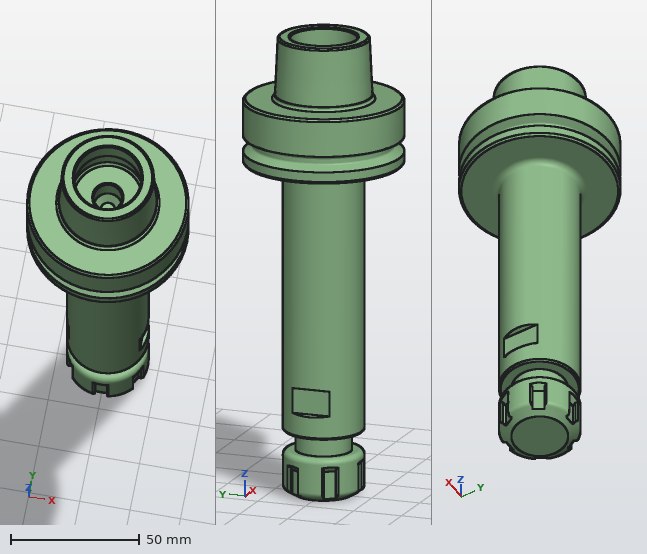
import cadquery as cq
import math

overall_length = 185.0

taper_height = 25.0
taper_top_radius = 36.0 / 2
taper_base_radius = 19.0
taper_base_z = 1.7
taper_chamfer = 0.7
relief_rim_radius = 19.2
relief_neck_radius = 19.0
relief_neck_z = 1.0
relief_outer_radius = 20.2

flange_radius = 63.0 / 2
flange_height = 26.0
flange_chamfer = 1.0
groove_radius = 27.8
groove_upper_edge_z = -15.0
groove_upper_floor_z = -16.6
groove_lower_floor_z = -19.2
groove_lower_edge_z = -21.3
groove_fillet = 0.7

shank_radius = 32.0 / 2
shank_bottom_z = -134.1
shank_fillet = 2.5
shank_chamfer = 0.7
flat_distance = 14.0
flat_top_z = -114.5
flat_bottom_z = -124.5
flat_end_angle = 17

neck_radius = 11.1
nut_radius = shank_radius
nut_top_z = -142.0
nut_bottom_z = taper_height - overall_length
nut_top_fillet = 2.2
nut_face_radius = 11.1
nut_cone_angle = 30
nut_lower_fillet = 1.8

slot_count = 6
slot_width = 4.8
slot_floor_distance = 13.7
slot_top_z = -145.2
slot_back_drop = 1.1
slot_rim_flare = 1.1
slot_first_angle = 30
slot_overshoot = 1.8

mouth_radius = 13.1
mouth_chamfer = 0.5
mouth_depth = 9.2
cavity_radius = 14.5
cavity_depth = 19.6
cavity_bevel = 1.1
coolant_radius = 5.5
coolant_depth = 9.2
coolant_chamfer = 0.5
coolant_tip_radius = 2.8


def revolved(profile):
    """Revolve a half profile drawn in XZ about the Z axis."""
    return profile.close().revolve(360, (0, 0, 0), (0, 1, 0))


def flanged_shank():
    flange_bottom_z = -flange_height
    edge_radius = flange_radius - flange_chamfer
    fillet_start = shank_radius + shank_fillet
    fillet_end_z = flange_bottom_z - shank_fillet
    fillet_mid = shank_fillet * (1 - math.sqrt(0.5))
    profile = (
        cq.Workplane("XZ")
        .moveTo(0, taper_height)
        .lineTo(taper_top_radius - taper_chamfer, taper_height)
        .lineTo(taper_top_radius, taper_height - taper_chamfer)
        .lineTo(taper_base_radius, taper_base_z)
        .lineTo(relief_rim_radius, taper_base_z)
        .lineTo(relief_neck_radius, relief_neck_z)
        .tangentArcPoint((relief_outer_radius, 0), relative=False)
        .lineTo(edge_radius, 0)
        .lineTo(flange_radius, -flange_chamfer)
        .lineTo(flange_radius, groove_upper_edge_z)
        .lineTo(groove_radius, groove_upper_floor_z)
        .lineTo(groove_radius, groove_lower_floor_z)
        .lineTo(flange_radius, groove_lower_edge_z)
        .lineTo(flange_radius, flange_bottom_z + flange_chamfer)
        .lineTo(edge_radius, flange_bottom_z)
        .lineTo(fillet_start, flange_bottom_z)
        .threePointArc(
            (shank_radius + fillet_mid, flange_bottom_z - fillet_mid),
            (shank_radius, fillet_end_z),
        )
        .lineTo(shank_radius, shank_bottom_z + shank_chamfer)
        .lineTo(shank_radius - shank_chamfer, shank_bottom_z)
        .lineTo(neck_radius, shank_bottom_z)
        .lineTo(neck_radius, nut_top_z)
        .lineTo(0, nut_top_z)
    )
    margin = 0.2
    groove_corners = cq.selectors.BoxSelector(
        (-margin, -margin, groove_lower_floor_z - margin),
        (margin, margin, groove_upper_floor_z + margin),
    )
    return revolved(profile).edges(groove_corners).fillet(groove_fillet)


def wrench_flat(side):
    """Cutter for one flat; both of its ends lean outward."""
    reach = 2 * (shank_radius - flat_distance)
    lean = reach * math.tan(math.radians(flat_end_angle))
    inner = side * flat_distance
    outer = side * (flat_distance + reach)
    return (
        cq.Workplane("XZ")
        .moveTo(inner, flat_top_z)
        .lineTo(outer, flat_top_z + lean)
        .lineTo(outer, flat_bottom_z - lean)
        .lineTo(inner, flat_bottom_z)
        .close()
        .extrude(shank_radius, both=True)
    )


def nut_blank():
    """Solid nut: rounded upper rim, conical lower end blended into the side."""
    cone_width = nut_radius - nut_face_radius
    cone_height = cone_width * math.tan(math.radians(nut_cone_angle))
    return (
        cq.Workplane("XY", origin=(0, 0, nut_bottom_z))
        .circle(nut_radius)
        .extrude(nut_top_z - nut_bottom_z)
        .faces("<Z")
        .chamfer(cone_height, cone_width)
        .faces("%CYLINDER")
        .edges("<Z")
        .fillet(nut_lower_fillet)
        .faces(">Z")
        .edges()
        .fillet(nut_top_fillet)
    )


def spanner_slot(top_z):
    """Cutter on the +X side: flat floor, 45 degree upper end, flared rim."""
    outer_radius = nut_radius + slot_overshoot
    depth = outer_radius - slot_floor_distance
    floor_top_z = top_z - (nut_radius - slot_floor_distance)
    half_width = slot_width / 2
    flare_start = nut_radius - slot_rim_flare
    flared_half_width = half_width + outer_radius - flare_start
    side_profile = (
        cq.Workplane("XZ")
        .moveTo(slot_floor_distance, nut_bottom_z)
        .lineTo(slot_floor_distance, floor_top_z)
        .lineTo(outer_radius, floor_top_z + depth)
        .lineTo(outer_radius, nut_bottom_z)
        .close()
        .extrude(nut_radius, both=True)
    )
    cross_section = (
        cq.Workplane("XY", origin=(0, 0, nut_bottom_z))
        .moveTo(slot_floor_distance, -half_width)
        .lineTo(flare_start, -half_width)
        .lineTo(outer_radius, -flared_half_width)
        .lineTo(outer_radius, flared_half_width)
        .lineTo(flare_start, half_width)
        .lineTo(slot_floor_distance, half_width)
        .close()
        .extrude(nut_top_z - nut_bottom_z)
    )
    return side_profile.intersect(cross_section)


def slotted_nut():
    """Nut with evenly spaced slots; those on the +Y half start lower."""
    nut = nut_blank()
    for index in range(slot_count):
        angle = slot_first_angle + index * 360 / slot_count
        on_back = math.sin(math.radians(angle)) > 0
        top_z = slot_top_z - slot_back_drop if on_back else slot_top_z
        nut = nut.cut(spanner_slot(top_z).rotate((0, 0, 0), (0, 0, 1), angle))
    return nut


def taper_cavity():
    """Cutter for the stepped bore: mouth, wider chamber and coolant hole."""
    mouth_end_z = taper_height - mouth_depth
    cavity_floor_z = taper_height - cavity_depth
    coolant_end_z = cavity_floor_z - coolant_depth
    tip_z = coolant_end_z - (coolant_radius - coolant_tip_radius)
    profile = (
        cq.Workplane("XZ")
        .moveTo(0, taper_height)
        .lineTo(mouth_radius + mouth_chamfer, taper_height)
        .lineTo(mouth_radius, taper_height - mouth_chamfer)
        .lineTo(mouth_radius, mouth_end_z)
        .lineTo(cavity_radius, mouth_end_z)
        .lineTo(cavity_radius, cavity_floor_z + cavity_bevel)
        .lineTo(cavity_radius - cavity_bevel, cavity_floor_z)
        .lineTo(coolant_radius + coolant_chamfer, cavity_floor_z)
        .lineTo(coolant_radius, cavity_floor_z - coolant_chamfer)
        .lineTo(coolant_radius, coolant_end_z)
        .lineTo(coolant_tip_radius, tip_z)
        .lineTo(0, tip_z)
    )
    return revolved(profile)


result = flanged_shank().cut(taper_cavity())
for side in (-1, 1):
    result = result.cut(wrench_flat(side))
result = result.union(slotted_nut())